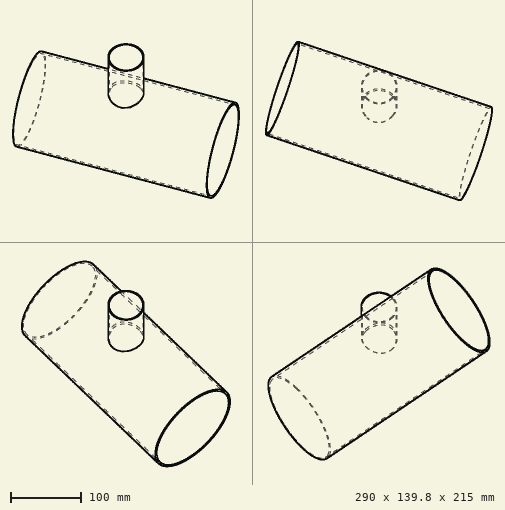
import cadquery as cq

pipe_length = 290.0
pipe_outer_diameter = 139.8
pipe_inner_diameter = 133.7

branch_outer_diameter = 50.8
branch_inner_diameter = 47.8
overall_height = 215.0
branch_top = overall_height - pipe_outer_diameter / 2


def pipe_cylinder(diameter):
    """Solid cylinder along the axis of the main pipe."""
    return cq.Workplane("YZ").circle(diameter / 2).extrude(pipe_length / 2, both=True)


def branch_cylinder(diameter):
    """Solid cylinder from the pipe axis up to the branch's open end."""
    return cq.Workplane("XY").circle(diameter / 2).extrude(branch_top)


outer_body = pipe_cylinder(pipe_outer_diameter).union(branch_cylinder(branch_outer_diameter))
result = outer_body.cut(pipe_cylinder(pipe_inner_diameter)).cut(branch_cylinder(branch_inner_diameter))